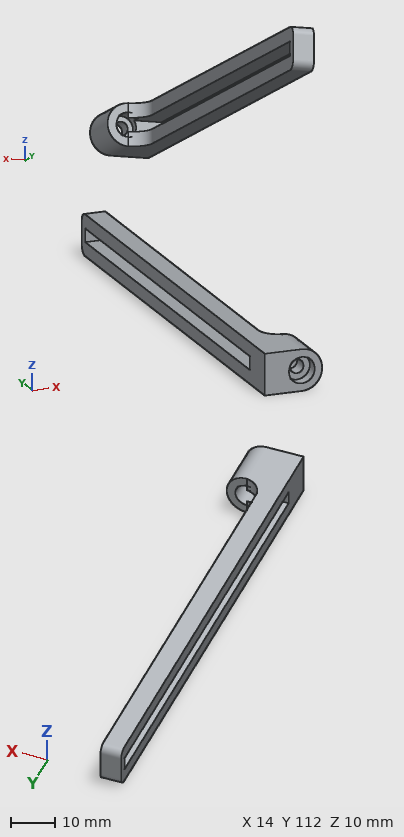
import cadquery as cq
import math

length = 112.0
height = 10.0
width = 14.0

bar_thickness = 5.0
barrel_radius = height / 2
barrel_axis_x = width - barrel_radius
barrel_length = 12.0
fillet_radius = 4.7
tip_radius = 2.0

fillet_center_x = bar_thickness + fillet_radius
fillet_center_y = barrel_length + fillet_radius
fillet_end_y = fillet_center_y - math.sqrt(fillet_radius**2 - (fillet_center_x - barrel_axis_x) ** 2)

slot_height = 3.2
slot_start = 9.2
slot_end = 109.9

hole_diameter = 3.2
front_bore_diameter = 6.3
front_bore_depth = 3.0
rear_bore_diameter = 5.7
rear_bore_depth = 5.0


def cylinder_along_y(diameter, start, depth):
    """Cylinder on the barrel axis, running toward +Y from start."""
    plane = cq.Plane(origin=(barrel_axis_x, start, 0), xDir=(1, 0, 0), normal=(0, 1, 0))
    return cq.Workplane(plane).circle(diameter / 2).extrude(depth)


body = (
    cq.Workplane("XY")
    .workplane(offset=-height / 2)
    .moveTo(0, 0)
    .lineTo(barrel_axis_x, 0)
    .lineTo(barrel_axis_x, fillet_end_y)
    .radiusArc((bar_thickness, fillet_center_y), fillet_radius)
    .lineTo(bar_thickness, length)
    .lineTo(0, length)
    .close()
    .extrude(height)
)
body = body.union(cylinder_along_y(height, 0, barrel_length))

body = body.edges("|X and >Y").fillet(tip_radius)

slot = cq.Workplane("XY").box(
    barrel_axis_x, slot_end - slot_start, slot_height, centered=(False, False, True)
).translate((0, slot_start, 0))
body = body.cut(slot)

body = body.cut(cylinder_along_y(hole_diameter, 0, barrel_length))
body = body.cut(cylinder_along_y(front_bore_diameter, 0, front_bore_depth))
rear_bore_start = barrel_length - rear_bore_depth
result = body.cut(cylinder_along_y(rear_bore_diameter, rear_bore_start, rear_bore_depth))